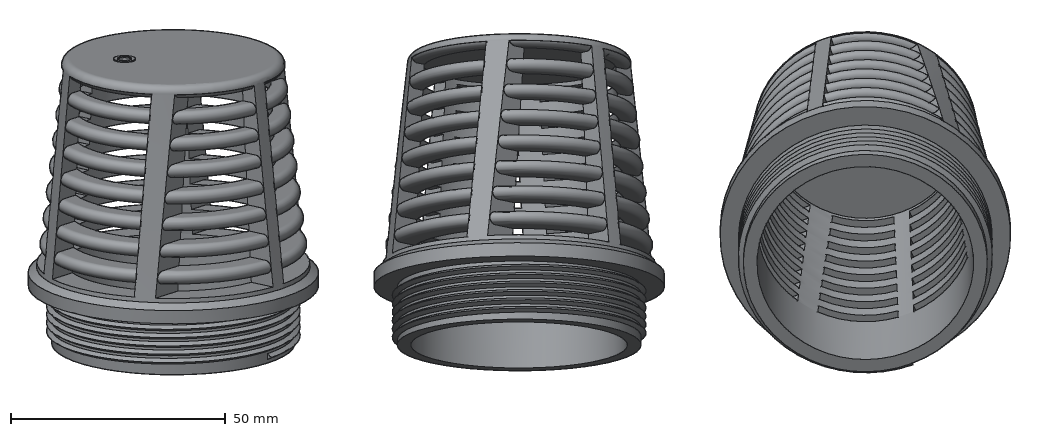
import cadquery as cq
import math

FLANGE_BOTTOM = 13.8
FLANGE_EDGE_TOP = 17.0
FLANGE_BEVEL_TOP = 18.3
FLANGE_TOP = 19.35
TOTAL_HEIGHT = 69.1
MARK_HEIGHT = 0.3
CAP_TOP = TOTAL_HEIGHT - MARK_HEIGHT
CAP_THICKNESS = 1.95
CAP_BOTTOM = CAP_TOP - CAP_THICKNESS

BORE_RADIUS = 50.4 / 2
SPIGOT_RADIUS = 56.7 / 2
FLANGE_RADIUS = 67.6 / 2
CAP_RADIUS = 26.05

CAGE_OUTER_BASE = 31.85
CAGE_INNER_TOP = 22.45

RIB_WIDTH = 3.9
RIB_SPACING_ANGLE = 60
SLANTED_RIB_WIDTH = RIB_WIDTH / math.sin(math.radians(RIB_SPACING_ANGLE))
SLANTED_RIB_X = 14.6

RING_COUNT = 7
RING_PITCH = 6.2
RING_FIRST_Z = 23.85
RING_HEIGHT = 3.1
RING_INSET = 0.15
LIP_Z = RING_FIRST_Z + RING_COUNT * RING_PITCH

THREAD_PITCH = 2.0
THREAD_TURNS = 6
THREAD_START_Z = 1.6
THREAD_DEPTH = 1.2
THREAD_BASE = 1.4
THREAD_ROOT_OVERLAP = 0.2

MARK_OUTER_DIAMETER = 5.1
MARK_INNER_DIAMETER = 3.3
MARK_X = -7.45
MARK_Y = -8.8


def revolve_profile(profile):
    """Turn a closed (radius, z) profile drawn on XZ about the Z axis."""
    return profile.close().revolve(360, (0, 0, 0), (0, 1, 0))


def outer_radius(z):
    """Radius at height z of the cone from the flange bevel up to the cap edge."""
    fraction = (z - FLANGE_BEVEL_TOP) / (CAP_BOTTOM - FLANGE_BEVEL_TOP)
    return CAGE_OUTER_BASE + fraction * (CAP_RADIUS - CAGE_OUTER_BASE)


def make_base():
    """Solid spigot and bevelled flange."""
    return revolve_profile(
        cq.Workplane("XZ")
        .lineTo(SPIGOT_RADIUS, 0)
        .lineTo(SPIGOT_RADIUS, FLANGE_BOTTOM)
        .lineTo(FLANGE_RADIUS, FLANGE_BOTTOM)
        .lineTo(FLANGE_RADIUS, FLANGE_EDGE_TOP)
        .lineTo(CAGE_OUTER_BASE, FLANGE_BEVEL_TOP)
        .lineTo(outer_radius(FLANGE_TOP), FLANGE_TOP)
        .lineTo(0, FLANGE_TOP)
    )


def make_thread():
    """Triangular tooth swept along a helix around the spigot."""
    root = SPIGOT_RADIUS - THREAD_ROOT_OVERLAP
    crest = SPIGOT_RADIUS + THREAD_DEPTH
    half_base = THREAD_BASE / 2 * (crest - root) / THREAD_DEPTH
    helix = cq.Wire.makeHelix(THREAD_PITCH, THREAD_PITCH * THREAD_TURNS, SPIGOT_RADIUS)
    tooth = (
        cq.Workplane("XZ")
        .moveTo(root, -half_base)
        .lineTo(crest, 0)
        .lineTo(root, half_base)
        .close()
        .sweep(cq.Workplane(helix), isFrenet=True)
    )
    return tooth.translate((0, 0, THREAD_START_Z))


def make_cap():
    """Closed end disc with a quarter-round rim and a rounded lip, the last ring, under its edge."""
    half = RING_HEIGHT / 2
    lip_bottom = LIP_Z - half
    lip_flat = outer_radius(LIP_Z) - half
    rim_drop = LIP_Z - CAP_BOTTOM
    rim_edge = lip_flat + math.sqrt(half**2 - rim_drop**2)
    return revolve_profile(
        cq.Workplane("XZ")
        .moveTo(0, lip_bottom)
        .lineTo(lip_flat, lip_bottom)
        .radiusArc((rim_edge, CAP_BOTTOM), -half)
        .lineTo(CAP_RADIUS, CAP_BOTTOM)
        .radiusArc((CAP_RADIUS - CAP_THICKNESS, CAP_TOP), -CAP_THICKNESS)
        .lineTo(0, CAP_TOP)
    )


def make_ribs():
    """Six ribs: the solid cage cone kept only inside three slabs."""
    cone = revolve_profile(
        cq.Workplane("XZ")
        .moveTo(0, FLANGE_BEVEL_TOP)
        .lineTo(CAGE_OUTER_BASE, FLANGE_BEVEL_TOP)
        .lineTo(CAP_RADIUS, CAP_BOTTOM)
        .lineTo(0, CAP_BOTTOM)
    )
    span = 2 * FLANGE_RADIUS
    slabs = cq.Workplane("XY").box(span, RIB_WIDTH, TOTAL_HEIGHT, centered=(True, True, False))
    for side in (-1, 1):
        slab = cq.Workplane("XY").box(SLANTED_RIB_WIDTH, span, TOTAL_HEIGHT, centered=(True, True, False))
        slabs = slabs.union(slab.translate((side * SLANTED_RIB_X, 0, 0)))
    return cone.intersect(slabs)


def make_ring(z):
    """Flat ring with a half-round outer edge; the cavity trims its inner side."""
    half = RING_HEIGHT / 2
    edge = outer_radius(z) - RING_INSET
    return revolve_profile(
        cq.Workplane("XZ")
        .moveTo(0, z - half)
        .lineTo(edge - half, z - half)
        .threePointArc((edge, z), (edge - half, z + half))
        .lineTo(0, z + half)
    )


def make_cavity():
    """Bore through the base, then a cone narrowing to the underside of the cap."""
    return revolve_profile(
        cq.Workplane("XZ")
        .lineTo(BORE_RADIUS, 0)
        .lineTo(BORE_RADIUS, FLANGE_TOP)
        .lineTo(CAGE_INNER_TOP, CAP_BOTTOM)
        .lineTo(0, CAP_BOTTOM)
    )


def make_mark():
    """Small raised ring on the cap."""
    return (
        cq.Workplane("XY", origin=(MARK_X, MARK_Y, CAP_TOP))
        .circle(MARK_OUTER_DIAMETER / 2)
        .circle(MARK_INNER_DIAMETER / 2)
        .extrude(MARK_HEIGHT)
    )


body = make_ribs().union(make_cap())
for ring in range(RING_COUNT):
    body = body.union(make_ring(RING_FIRST_Z + ring * RING_PITCH))
body = body.union(make_base()).cut(make_cavity())
result = body.union(make_thread()).union(make_mark())